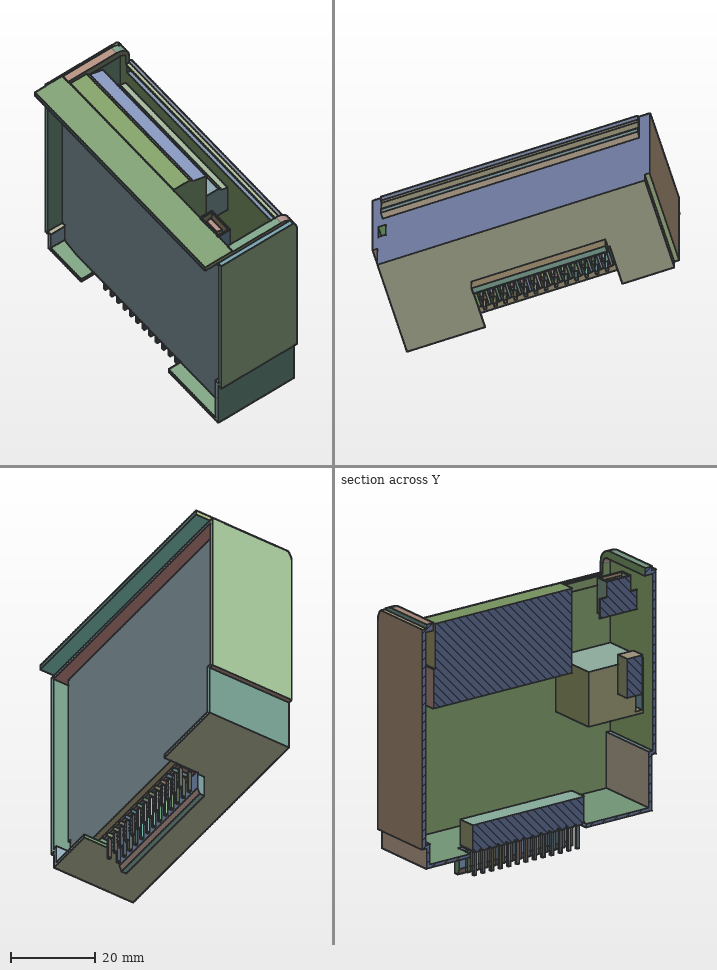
import cadquery as cq

width = 69.25
half_width = width / 2
wall = 1.1
floor_wall = 1.0
back_wall = 1.0
shoulder = 1.2
core_half = half_width - shoulder
front_y = -10.0
back_y = 12.6
floor_z = -28.1
left_step_z = -23.0
right_step_z = -13.9
side_top_z = 32.8
cap_top_z = 33.87
ceiling_z = 31.8
corner_radius = 3.8
inner_radius = 1.7

lip_top_z = 34.105
lip_front_y = -13.925
lip_back_y = -5.7

opening_half = 31.3
opening_z = 27.5

ridge_half = 32.1
ridge_bevel = 0.8
outer_ridge_y = 13.925
middle_ridge_y = 13.6
top_ridge = (23.1, opening_z)
middle_ridge = (16.4, 22.1)
bottom_ridge = (11.5, 15.7)
ridge_pocket_y = 13.5
ridge_pocket_floor_z = (24.85, 23.95)
ridge_pocket_top_z = (27.1, 26.5)
ridge_pocket_half = 31.0

box_left_x = 17.3
box_front_y = -1.5
box_z = (-4.4, 9.5)
window_x = (31.3, 33.2)
window_z = (-3.6, 5.3)

board_back_y = -5.3
board_thickness = 1.6
board_front_y = board_back_y - board_thickness
board_half = 31.85
board_lower_half = 31.05
board_bottom_z = -26.1
board_left_step_z = -19.5
board_right_step_z = -10.8
board_corner_width = 4.6
board_corner_height = 0.9

pin_count = 13
pin_pitch = 2.54
pin_size = 0.7
pin_tip_z = -33.15
pin_rows_y = (-4.15, -4.15 + pin_pitch)
header_center_x = -3.25
header_length = pin_count * pin_pitch
header_notch = 0.6
header_z = (-27.1, -20.0)

pin_slot_x = (-20.4, 13.9)
tab_x = (-20.0, 13.5)
tab_back_y = 1.7
tab_front_y = -0.25
header_back_y = tab_front_y
tab_bottom_z = -34.105
tab_chamfer_y = 0.6
tab_chamfer_z = 1.6

upper_tier_x = (-30.85, 9.75)
lower_tier_x = (-opening_half, 8.65)
terminal_bottom_z = 12.0
upper_tier_top_z = 33.5
lower_tier_top_z = 22.0
tier_bevel = 1.0
tier_fall = 0.3
upper_tier_back_y = 4.4
upper_bevel_y = -0.5
lower_tier_back_y = back_y - back_wall
lower_bevel_y = 8.85

usb_center_x = 23.5
usb_width = 7.3
usb_height = 3.7
usb_top_z = 32.9
usb_length = 9.0
usb_shell = 0.4
usb_mouth_depth = 4.0
usb_tongue_bottom_half = 1.9
usb_tongue_top_half = 2.3
usb_tongue_y = (-4.4, -3.0)
usb_tongue_gap = 0.4
usb_foot_width = 11.0
usb_foot_thickness = 0.4

component_x = (26.0, 30.6)
component_z = (2.0, 12.0)


def box(x_range, y_range, z_range):
    """Block that fills the given ranges."""
    lengths = [top - low for low, top in (x_range, y_range, z_range)]
    return cq.Workplane("XY").box(*lengths, centered=False).translate((x_range[0], y_range[0], z_range[0]))


def extrude_y(points, y_range):
    """Prism along Y from an outline of (x, z) points."""
    return cq.Workplane("XZ", origin=(0, y_range[0], 0)).polyline(points).close().extrude(y_range[0] - y_range[1])


def extrude_x(points, x_range):
    """Prism along X from an outline of (y, z) points."""
    return cq.Workplane("YZ", origin=(x_range[0], 0, 0)).polyline(points).close().extrude(x_range[1] - x_range[0])


def stepped_outline(upper_half, lower_half, bottom, left_step, right_step, top):
    """Outline whose two lower corners are stepped inward at different heights."""
    return [
        (-upper_half, top), (-upper_half, left_step), (-lower_half, left_step), (-lower_half, bottom),
        (lower_half, bottom), (lower_half, right_step), (upper_half, right_step), (upper_half, top),
    ]


def round_top_back(body, radius):
    """Round the upper back edge of a body along X."""
    return body.faces(">Z").edges(">Y").fillet(radius)


def housing_shell():
    """Open-fronted case with rounded upper back corner and a slightly lower outer side skin."""
    outline = stepped_outline(half_width, core_half, floor_z, left_step_z, right_step_z, cap_top_z)
    shell = round_top_back(extrude_y(outline, (front_y, back_y)), corner_radius)
    for skin_x in ((-half_width, -core_half), (core_half, half_width)):
        shell = shell.cut(box(skin_x, (front_y, back_y), (side_top_z, cap_top_z)))
    cavity_outline = stepped_outline(
        half_width - wall, core_half - wall, floor_z + floor_wall,
        left_step_z + floor_wall, right_step_z + floor_wall, ceiling_z,
    )
    cavity = extrude_y(cavity_outline, (front_y, back_y - back_wall))
    return shell.cut(round_top_back(cavity, inner_radius))


def front_lip():
    """Plate on top of the side walls that overhangs the open front."""
    return box((-core_half, core_half), (lip_front_y, lip_back_y), (side_top_z, lip_top_z))


def ridge(z_range, crest_y, low_bevel, high_bevel):
    """Ridge on the back wall with bevelled long edges."""
    low, high = z_range
    points = [(back_y, low), (crest_y, low + low_bevel), (crest_y, high - high_bevel), (back_y, high)]
    return extrude_x(points, (-ridge_half, ridge_half))


def ridge_pocket():
    """Hollow of the top ridge, open to the inside, with its floor and top falling toward the back."""
    inner_back_y = back_y - back_wall
    points = [
        (inner_back_y, ridge_pocket_floor_z[0]), (ridge_pocket_y, ridge_pocket_floor_z[1]),
        (ridge_pocket_y, ridge_pocket_top_z[1]), (inner_back_y, ridge_pocket_top_z[0]),
    ]
    return extrude_x(points, (-ridge_pocket_half, ridge_pocket_half))


def pin_tab():
    """Tab below the floor that guards the pins from behind."""
    points = [
        (tab_back_y, floor_z + floor_wall), (tab_back_y, tab_bottom_z),
        (tab_front_y + tab_chamfer_y, tab_bottom_z), (tab_front_y, tab_bottom_z + tab_chamfer_z),
        (tab_front_y, floor_z + floor_wall),
    ]
    return extrude_x(points, tab_x)


def make_housing():
    inner_half = half_width - wall
    inner_back_y = back_y - back_wall
    body = housing_shell().union(front_lip())
    body = body.cut(box((-opening_half, opening_half), (lip_back_y, back_y), (opening_z, lip_top_z)))
    body = body.union(ridge(top_ridge, outer_ridge_y, 0.0, ridge_bevel))
    body = body.union(ridge(middle_ridge, middle_ridge_y, 0.0, 0.0))
    body = body.union(ridge(bottom_ridge, outer_ridge_y, ridge_bevel, 0.0))
    body = body.cut(ridge_pocket())
    body = body.union(box((box_left_x, inner_half), (box_front_y, inner_back_y), box_z))
    body = body.cut(box(window_x, (box_front_y, back_y), window_z))
    body = body.cut(box(pin_slot_x, (front_y, tab_front_y), (floor_z, floor_z + floor_wall)))
    return body.union(pin_tab())


def board():
    """Circuit board with stepped lower corners, the left one cut off at a slant."""
    points = stepped_outline(
        board_half, board_lower_half, board_bottom_z, board_left_step_z, board_right_step_z, ceiling_z
    )
    lower_left = points.index((-board_lower_half, board_bottom_z))
    points[lower_left:lower_left + 1] = [
        (-board_lower_half, board_bottom_z + board_corner_height),
        (-board_lower_half + board_corner_width, board_bottom_z),
    ]
    return extrude_y(points, (board_front_y, board_back_y))


def pin_header():
    """Header body on the board with two rows of pins pointing down."""
    left_x = header_center_x - header_length / 2
    header = box((left_x, left_x + header_length), (board_back_y, header_back_y), header_z)
    for index in range(pin_count + 1):
        notch_x = left_x + index * pin_pitch
        points = [
            (notch_x - header_notch, header_z[0]), (notch_x, header_z[0] + header_notch),
            (notch_x + header_notch, header_z[0]),
        ]
        header = header.cut(extrude_y(points, (board_back_y, header_back_y)))
    for row_y in pin_rows_y:
        for index in range(pin_count):
            pin_x = left_x + (index + 0.5) * pin_pitch
            pin = box(
                (pin_x - pin_size / 2, pin_x + pin_size / 2),
                (row_y - pin_size / 2, row_y + pin_size / 2),
                (pin_tip_z, header_z[0]),
            )
            header = header.union(pin)
    return header


def terminal_tier(x_range, top_z, bevel_y, end_y):
    """Tier with a flat top, a 45 degree bevel and a gently falling back part."""
    slope_y = bevel_y + tier_bevel
    slope_z = top_z - tier_bevel
    points = [
        (board_back_y, terminal_bottom_z), (board_back_y, top_z), (bevel_y, top_z), (slope_y, slope_z),
        (end_y, slope_z - tier_fall * (end_y - slope_y)), (end_y, terminal_bottom_z),
    ]
    return extrude_x(points, x_range)


def usb_socket():
    """Socket with an open mouth, a tongue inside and a mounting foot on the board."""
    half = usb_width / 2
    bottom_z = usb_top_z - usb_length
    back = board_back_y + usb_height
    x_range = (usb_center_x - half, usb_center_x + half)
    socket = box(x_range, (board_back_y, back), (bottom_z, usb_top_z))
    mouth = box(
        (x_range[0] + usb_shell, x_range[1] - usb_shell),
        (board_back_y + usb_shell, back - usb_shell),
        (usb_top_z - usb_mouth_depth, usb_top_z),
    )
    low_y, high_y = usb_tongue_y
    tongue = (
        cq.Workplane("XY", origin=(usb_center_x, 0, usb_top_z - usb_mouth_depth))
        .polyline([
            (-usb_tongue_bottom_half, low_y), (usb_tongue_bottom_half, low_y),
            (usb_tongue_top_half, high_y), (-usb_tongue_top_half, high_y),
        ])
        .close()
        .extrude(usb_mouth_depth - usb_tongue_gap)
    )
    foot = box(
        (usb_center_x - usb_foot_width / 2, usb_center_x + usb_foot_width / 2),
        (board_back_y, board_back_y + usb_foot_thickness),
        (bottom_z, usb_top_z - usb_mouth_depth),
    )
    return socket.cut(mouth).union(tongue).union(foot)


def make_board_assembly():
    lower_tier = terminal_tier(lower_tier_x, lower_tier_top_z, lower_bevel_y, lower_tier_back_y)
    upper_tier = terminal_tier(upper_tier_x, upper_tier_top_z, upper_bevel_y, upper_tier_back_y)
    component = box(component_x, (board_back_y, box_front_y), component_z)
    body = board().union(pin_header()).union(upper_tier).union(lower_tier)
    return body.union(usb_socket()).union(component)


housing = make_housing()
board_assembly = make_board_assembly()
result = cq.Compound.makeCompound([housing.val(), board_assembly.val()])